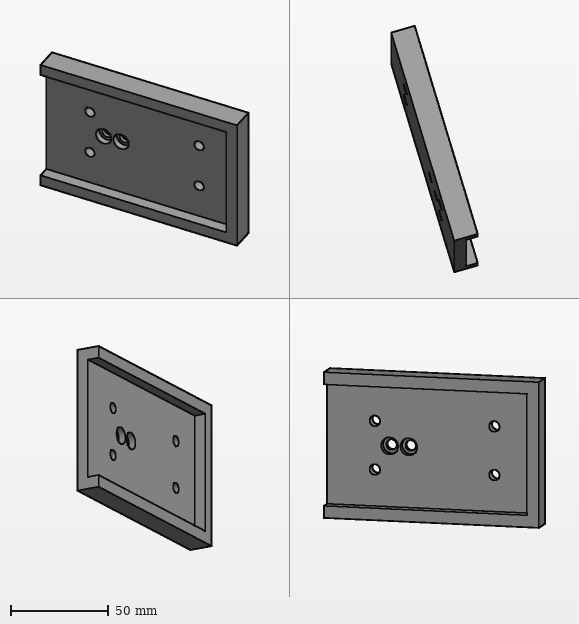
import cadquery as cq

length = 114.3
thickness = 12.7
height = 76.2

wall = 6.35
pocket_depth = thickness / 2
pocket_length = length - wall
pocket_height = height - 2 * wall

hole_diameter = 5.5
middle_z = height / 2

mount_first_x = 25.4
mount_spacing_x = 63.5
mount_spacing_z = 25.4

counterbore_diameter = 8.89
counterbore_depth = 3.81
counterbored_first_x = 33.34
counterbored_spacing = 10.16


def cylinder_along_y(x, z, diameter, start_y, depth):
    """Cylinder centred at (x, z), running from start_y towards +Y."""
    base = cq.Workplane("XZ", origin=(x, start_y, z))
    return base.circle(diameter / 2).extrude(-depth)


def make_tray():
    """Plate with the three-walled pocket cut into its front."""
    plate = cq.Workplane("XY").box(length, thickness, height, centered=False)
    pocket = (
        cq.Workplane("XY", origin=(0, 0, wall))
        .box(pocket_length, pocket_depth, pocket_height, centered=False)
    )
    return plate.cut(pocket)


def cut_mount_holes(body):
    """Drill the four plain through holes."""
    for x in (mount_first_x, mount_first_x + mount_spacing_x):
        for z in (middle_z - mount_spacing_z / 2, middle_z + mount_spacing_z / 2):
            body = body.cut(cylinder_along_y(x, z, hole_diameter, 0, thickness))
    return body


def cut_counterbored_holes(body):
    """Drill the two through holes and their counterbores in the pocket floor."""
    for x in (counterbored_first_x, counterbored_first_x + counterbored_spacing):
        body = body.cut(cylinder_along_y(x, middle_z, hole_diameter, 0, thickness))
        body = body.cut(
            cylinder_along_y(x, middle_z, counterbore_diameter, pocket_depth, counterbore_depth)
        )
    return body


result = cut_counterbored_holes(cut_mount_holes(make_tray()))